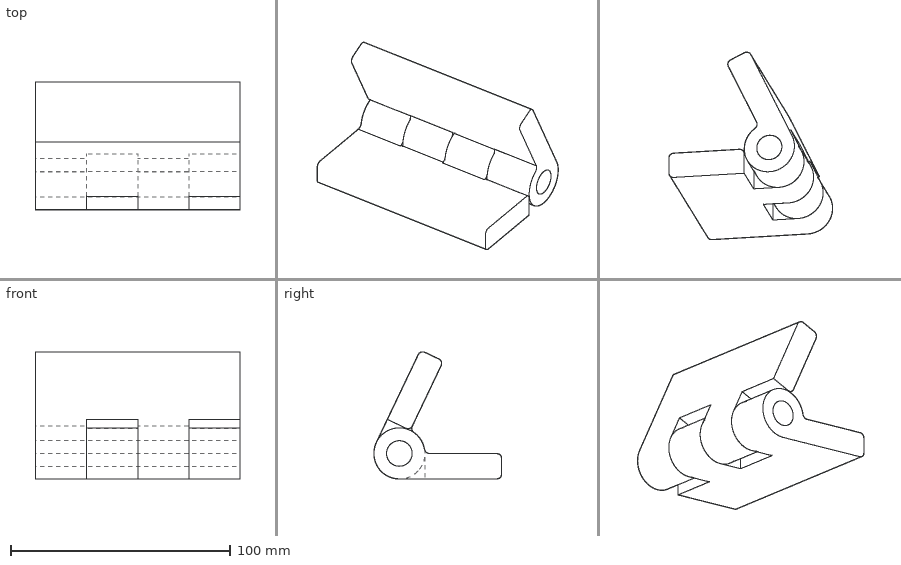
import cadquery as cq
import math

hinge_length = 93.3
knuckle_count = 4
knuckle_radius = 11.7
pin_radius = knuckle_radius / 2
leaf_reach = 46.6
leaf_thickness = knuckle_radius
edge_round = 2.3
root_fillet = 2.3
notch_round = 2.3
opening_angle = 64.5

knuckle_length = hinge_length / knuckle_count

root_start = math.sqrt(knuckle_radius**2 + 2 * knuckle_radius * root_fillet)
contact_ratio = knuckle_radius / (knuckle_radius + root_fillet)
root_contact = (root_start * contact_ratio, root_fillet * contact_ratio)
contact_direction = math.atan2(root_fillet, root_start) + math.pi
root_middle_angle = (1.5 * math.pi + contact_direction) / 2
root_middle = (
    root_start + root_fillet * math.cos(root_middle_angle),
    root_fillet + root_fillet * math.sin(root_middle_angle),
)


def make_pin():
    """Pin through all knuckles, flush at both ends."""
    return cq.Workplane("YZ").circle(pin_radius).extrude(hinge_length)


def make_plate(start_x):
    """Flat plate one knuckle long, ending clear of the opposite knuckle."""
    plate = (
        cq.Workplane("YZ", origin=(start_x, 0, 0))
        .moveTo(knuckle_radius, -leaf_thickness)
        .lineTo(leaf_reach, -leaf_thickness)
        .lineTo(leaf_reach, 0)
        .lineTo(knuckle_radius, 0)
        .close()
        .extrude(knuckle_length)
    )
    plate = plate.edges("|X and >Y").fillet(edge_round)
    return plate.edges("|X and <Y and >Z").fillet(notch_round)


def make_knuckle(start_x):
    """Round knuckle with the web and root fillet that carry it on the plate."""
    section = cq.Workplane("YZ", origin=(start_x, 0, 0))
    barrel = section.circle(knuckle_radius).extrude(knuckle_length)
    web = (
        section.lineTo(0, -leaf_thickness)
        .lineTo(root_start, -leaf_thickness)
        .lineTo(root_start, 0)
        .threePointArc(root_middle, root_contact)
        .close()
        .extrude(knuckle_length)
    )
    return barrel.union(web)


def make_leaf(first_knuckle):
    """Leaf lying along +Y, with every second knuckle starting at first_knuckle."""
    leaf = make_plate(0)
    for position in range(1, knuckle_count):
        leaf = leaf.union(make_plate(position * knuckle_length))
    for position in range(first_knuckle, knuckle_count, 2):
        leaf = leaf.union(make_knuckle(position * knuckle_length))
    return leaf.cut(make_pin()).clean()


fixed_leaf = make_leaf(1)

swinging_leaf = make_leaf(0).mirror("XY").rotate((0, 0, 0), (1, 0, 0), opening_angle)

pin = make_pin()

result = cq.Compound.makeCompound([fixed_leaf.val(), swinging_leaf.val(), pin.val()])